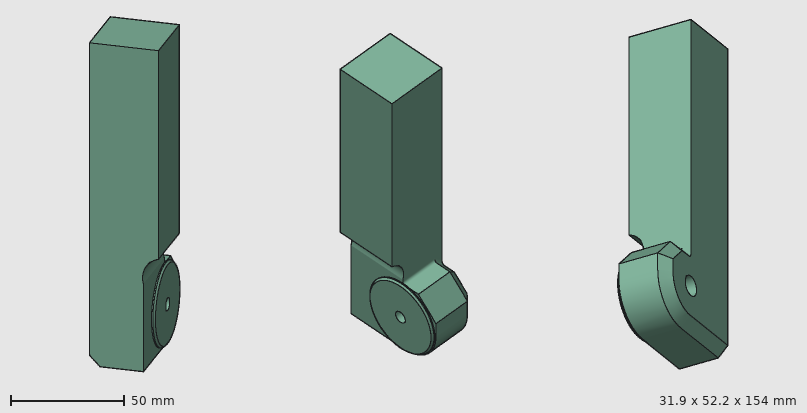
import cadquery as cq

bar_side = 31.9
bar_length = 154.0

ear_reach = 20.3
ear_radius = 20.0
arc_start_y = ear_reach - ear_radius
ear_height = 39.3
ear_corner_cut = 10.8
ear_thickness = 25.0
edge_chamfer = 5.0
root_fillet = 1.4
pivot_z = ear_radius

relief_radius = 10.0
relief_depth = 7.4
relief_z = 44.8

disc_height = 1.5
disc_rim_chamfer = 1.0
disc_radius = 19.7

bore_diameter = 9.7
bore_depth = 15.0
hole_diameter = 6.0


def make_ear_envelope():
    """Ear and the bar behind it, chamfered on the outer side face."""
    outline = (
        cq.Workplane("YZ")
        .moveTo(-2 * bar_side, 0)
        .lineTo(arc_start_y, 0)
        .radiusArc((ear_reach, pivot_z), -ear_radius)
        .lineTo(ear_reach, ear_height - ear_corner_cut)
        .lineTo(ear_reach - ear_corner_cut, ear_height)
        .lineTo(-2 * bar_side, ear_height)
        .close()
    )
    return outline.extrude(ear_thickness).faces("<X").edges().chamfer(edge_chamfer)


def make_bar():
    """Bar with its bottom edge chamfered and its lower end thinned and relieved."""
    bar = cq.Workplane("XY").box(bar_side, bar_side, bar_length, centered=False)
    bar = bar.translate((0, -bar_side, 0)).edges("<X and <Z").chamfer(edge_chamfer)
    thinning = cq.Workplane("XY").box(bar_side, bar_side, relief_z, centered=False)
    thinning = thinning.translate((ear_thickness, -bar_side, 0))
    relief_x = bar_side - relief_depth + relief_radius
    relief = (
        cq.Workplane("XZ").center(relief_x, relief_z).circle(relief_radius).extrude(bar_side)
    )
    return bar.cut(thinning).cut(relief)


def make_ear():
    """Part of the chamfered envelope that stands beyond the bar."""
    keep = cq.Workplane("XY").box(bar_side, ear_reach, bar_length, centered=False)
    return make_ear_envelope().intersect(keep)


def fillet_ear_root(body):
    """Round the inner corner where the top of the ear and its chamfer meet the bar."""
    margin = 0.2
    corner = cq.selectors.BoxSelector(
        (-margin, -margin, ear_height - edge_chamfer - margin),
        (ear_thickness + margin, margin, ear_height + margin),
        boundingbox=True,
    )
    return body.edges(corner).fillet(root_fillet)


def make_disc():
    disc = (
        cq.Workplane("YZ", origin=(ear_thickness, 0, pivot_z)).circle(disc_radius)
        .extrude(disc_height)
    )
    return disc.faces(">X").edges().chamfer(disc_rim_chamfer)


def make_pivot_hole():
    """Bore from the outer side face, a 45 degree conical seat, then a smaller through hole."""
    bore_radius = bore_diameter / 2
    hole_radius = hole_diameter / 2
    disc_face_x = ear_thickness + disc_height
    cone_end_x = bore_depth + bore_radius - hole_radius
    return (
        cq.Workplane("XY", origin=(0, 0, pivot_z))
        .lineTo(0, bore_radius)
        .lineTo(bore_depth, bore_radius)
        .lineTo(cone_end_x, hole_radius)
        .lineTo(disc_face_x, hole_radius)
        .lineTo(disc_face_x, 0)
        .close()
        .revolve(360, (0, 0, 0), (1, 0, 0))
    )


bar_with_ear = fillet_ear_root(make_bar().union(make_ear()))
result = bar_with_ear.union(make_disc()).cut(make_pivot_hole())